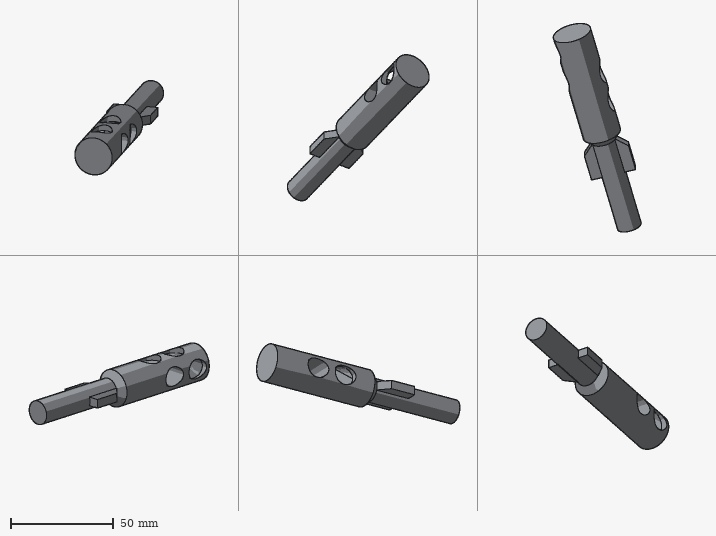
import cadquery as cq

total_length = 109.1
body_diameter = 19.0
shank_diameter = 12.1
body_length = 56.9
shoulder_length = 3.6

fin_span = 22.4
fin_thickness = 4.5
fin_end = 79.1
fin_chamfer = 5.0

port_length = 12.1
port_width = 9.9
first_port = 8.0
port_step = 8.0
mouth_plane = 6.5

body_radius = body_diameter / 2
shank_radius = shank_diameter / 2
shoulder_end = body_length + shoulder_length


def make_spindle():
    """Turned body, conical shoulder and shank."""
    profile = [
        (0, 0),
        (body_radius, 0),
        (body_radius, body_length),
        (shank_radius, shoulder_end),
        (shank_radius, total_length),
        (0, total_length),
    ]
    return cq.Workplane("XY").polyline(profile).close().revolve(360, (0, 0), (0, 1))


def make_fins():
    """Flat plate through the shank whose lower corners taper in to the shoulder."""
    half_span = fin_span / 2
    taper_end = shoulder_end + fin_chamfer
    outline = [
        (-shank_radius, shoulder_end),
        (shank_radius, shoulder_end),
        (half_span, taper_end),
        (half_span, fin_end),
        (-half_span, fin_end),
        (-half_span, taper_end),
    ]
    return cq.Workplane("XY").polyline(outline).close().extrude(fin_thickness / 2, both=True)


def port_oval(normal, place, radius):
    """Oval wire facing along normal, at the given distance from the body axis."""
    center = normal * radius + cq.Vector(0, place, 0)
    return cq.Wire.makeEllipse(
        port_length / 2, port_width / 2, center, normal, cq.Vector(0, 1, 0)
    )


def make_mouth(normal, place):
    """Straight radial cutter from the mouth plane out through the surface."""
    oval = port_oval(normal, place, mouth_plane)
    return cq.Workplane(cq.Solid.extrudeLinear(oval, [], normal * body_radius))


def make_passage(start_normal, start_place, end_normal, end_place):
    """Cutter joining two ports with a blend between their mouth ovals."""
    start = port_oval(start_normal * -1, start_place, -mouth_plane)
    end = port_oval(end_normal, end_place, mouth_plane)
    blend = cq.Workplane(cq.Solid.makeLoft([start, end], True))
    return (
        blend
        .union(make_mouth(start_normal, start_place))
        .union(make_mouth(end_normal, end_place))
    )


left = cq.Vector(-1, 0, 0)
right = cq.Vector(1, 0, 0)
up = cq.Vector(0, 0, 1)
places = [first_port + index * port_step for index in range(5)]

passages = [
    (left, places[0], up, places[1]),
    (left, places[2], right, places[2]),
    (up, places[3], right, places[4]),
]

result = make_spindle().union(make_fins())
for passage in passages:
    result = result.cut(make_passage(*passage))